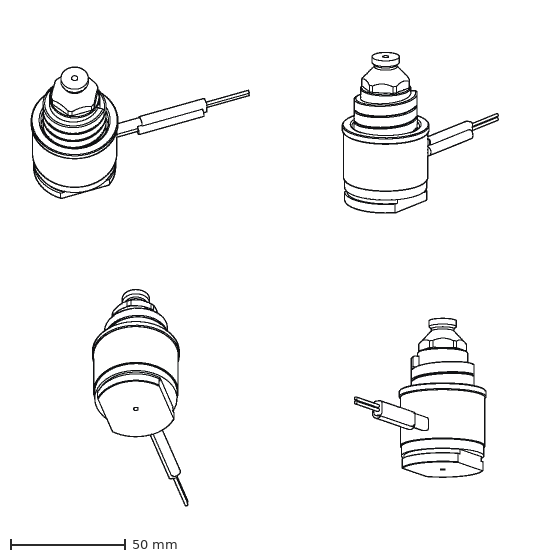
import cadquery as cq
import math

flange_radius = 18.0
flange_groove_radius = 17.0
flange_disc_height = 4.1
flange_height = 6.1
flange_across_flats = 28.0
edge_chamfer = 0.3

skirt_radius = 18.0
housing_radius = 18.5
housing_bottom = 10.2
rim_radius = 19.0
rim_bottom = 32.0
rim_top = 35.0
rim_chamfer = 0.4
recess_radius = 14.8
recess_chamfer = 0.7
recess_depth = 6.0

neck_radius = 11.0
neck_top = 52.1
neck_chamfer = 0.4
thread_radius = 13.8
thread_core_radius = 13.2
thread_core_top = 43.0
thread_pitch = 5.2
thread_gap_at_root = 0.2
thread_edge_run = 0.7
thread_edge_drop = 0.3
thread_root_overlap = 0.3
thread_turns = 4
thread_top = 49.7
thread_end_angle = 50.0

collar_radius = 8.4
nut_bottom = 52.6
nut_across_flats = 19.0
nut_corner_radius = 10.5
cone_top = 61.6
cone_top_radius = 5.0
cone_bottom = 55.6
throat_top = 62.6
button_edge = 63.6
button_radius = 6.0
total_height = 66.2
bore_radius = 1.0
tip_bore_radius = 1.3
tip_bore_depth = 10.0

cable_x = -1.35
cable_z = 17.0
sleeve_width = 3.9
sleeve_height = 6.4
sleeve_fillet = 1.0
sleeve_wall = 0.4
sleeve_start = 31.0
sleeve_length = 30.0
wire_radius = 0.7
wire_spacing = 1.8
overall_length = 100.0
wire_end = overall_length - rim_radius
cable_root = 16.5

lead_x = 0.2
lead_z = 15.2
lead_radius = 0.8
lead_sleeve_radius = 2.3
lead_sleeve_start = 29.0


def disc(radius, bottom, top):
    return cq.Workplane("XY").workplane(offset=bottom).circle(radius).extrude(top - bottom)


def rod(x, z, radius, start, end):
    """Round bar along +Y."""
    return cq.Workplane("XZ", origin=(x, start, z)).circle(radius).extrude(start - end)


def flat_bar(width, height, fillet, start, end):
    """Cable section along +Y with rounded long edges."""
    bar = cq.Workplane("XZ", origin=(cable_x, start, cable_z)).rect(width, height).extrude(start - end)
    return bar.edges("|Y").fillet(fillet)


def base_flange():
    disc_part = disc(flange_radius, 0, flange_disc_height).faces("<Z").edges().chamfer(edge_chamfer)
    flange = disc_part.union(disc(flange_groove_radius, flange_disc_height, flange_height))
    flats = cq.Workplane("XY").rect(flange_across_flats, 2 * flange_radius).extrude(flange_height)
    return flange.intersect(flats)


def housing():
    skirt = disc(skirt_radius, flange_height, housing_bottom)
    barrel = disc(housing_radius, housing_bottom, rim_bottom).faces("<Z").edges().chamfer(edge_chamfer)
    rim = disc(rim_radius, rim_bottom, rim_top).edges().chamfer(rim_chamfer)
    shell = skirt.union(barrel).union(rim).cut(disc(recess_radius, rim_top - recess_depth, rim_top))
    mouth_edge = cq.selectors.RadiusNthSelector(0)
    return shell.faces(">Z").edges(mouth_edge).chamfer(recess_chamfer)


def thread():
    """Right-handed wide-crested thread; narrow V grooves separate its turns."""
    band_height = thread_pitch - thread_gap_at_root
    profile_bottom = thread_top - thread_turns * thread_pitch - band_height
    shoulder = thread_radius - thread_edge_run
    path = cq.Wire.makeHelix(thread_pitch, thread_turns * thread_pitch, thread_radius)
    root = neck_radius - thread_root_overlap
    band = (
        cq.Workplane("XZ")
        .moveTo(root, 0)
        .lineTo(shoulder, 0)
        .lineTo(thread_radius, thread_edge_drop)
        .lineTo(thread_radius, band_height - thread_edge_drop)
        .lineTo(shoulder, band_height)
        .lineTo(root, band_height)
        .close()
        .sweep(cq.Workplane(path), isFrenet=True)
    )
    return band.rotate((0, 0, 0), (0, 0, 1), thread_end_angle).translate((0, 0, profile_bottom))


def threaded_neck():
    neck = disc(neck_radius, flange_height, neck_top).faces(">Z").edges().chamfer(neck_chamfer)
    core = disc(thread_core_radius, flange_height, thread_core_top)
    return neck.union(thread()).union(core)


def nut_and_tip():
    hexagon_diameter = nut_across_flats / math.cos(math.pi / 6)
    hexagon = (
        cq.Workplane("XY")
        .workplane(offset=nut_bottom)
        .transformed(rotate=(0, 0, 30))
        .polygon(6, hexagon_diameter)
        .extrude(total_height - nut_bottom)
    )
    outline = (
        cq.Workplane("XZ")
        .moveTo(0, nut_bottom)
        .lineTo(nut_corner_radius, nut_bottom)
        .lineTo(nut_corner_radius, cone_bottom)
        .lineTo(cone_top_radius, cone_top)
        .lineTo(cone_top_radius, throat_top)
        .lineTo(button_radius, button_edge)
        .lineTo(button_radius, total_height)
        .lineTo(0, total_height)
        .close()
        .revolve(360, (0, 0, 0), (0, 1, 0))
    )
    return disc(collar_radius, neck_top, nut_bottom).union(outline.intersect(hexagon))


def cable():
    sleeve_end = sleeve_start + sleeve_length
    core_width = sleeve_width - 2 * sleeve_wall
    core_height = sleeve_height - 2 * sleeve_wall
    core = flat_bar(core_width, core_height, sleeve_fillet - sleeve_wall, cable_root, sleeve_end)
    assembly = core.union(flat_bar(sleeve_width, sleeve_height, sleeve_fillet, sleeve_start, sleeve_end))
    for side in (-1, 1):
        wire_z = cable_z + side * wire_spacing / 2
        assembly = assembly.union(rod(cable_x, wire_z, wire_radius, sleeve_start, wire_end))
    return assembly


def lead():
    sleeve_end = lead_sleeve_start + sleeve_length
    core = rod(lead_x, lead_z, lead_radius, cable_root, sleeve_end)
    return core.union(rod(lead_x, lead_z, lead_sleeve_radius, lead_sleeve_start, sleeve_end))


body = base_flange().union(housing()).union(threaded_neck()).union(nut_and_tip())
body = body.union(cable()).union(lead())
tip_bore = disc(tip_bore_radius, total_height - tip_bore_depth, total_height)
result = body.cut(disc(bore_radius, 0, total_height)).cut(tip_bore)